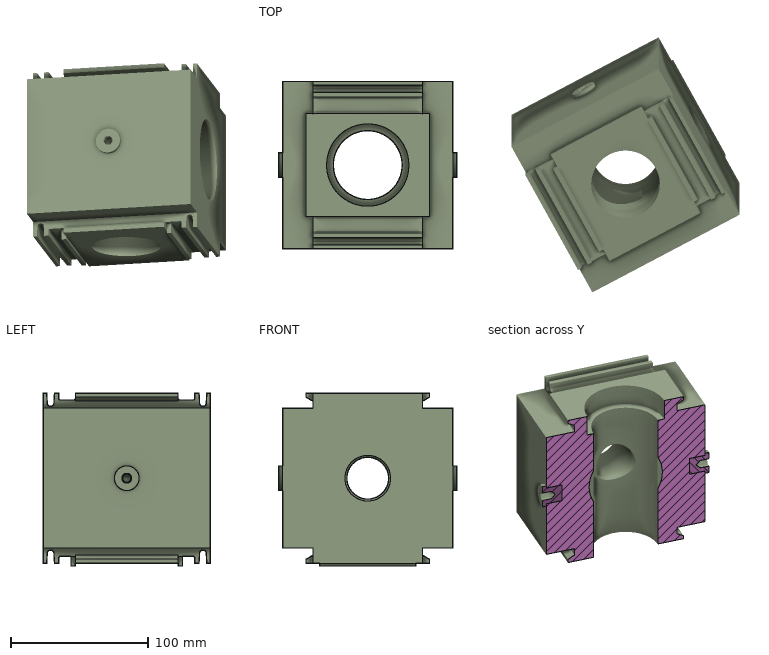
import cadquery as cq
import math

BODY_X = 124.0
BODY_Y = 122.0
BODY_Z = 102.0
PAD_X = 80.0
PAD_HEIGHT = 11.0
PAD_Z = BODY_Z / 2 + PAD_HEIGHT

DOVETAIL_X = 90.0
DOVETAIL_Y = 75.0
DOVETAIL_LIP = 3.0
DOVETAIL_ANGLE = 30.0
DOVETAIL_DROP = (DOVETAIL_X - PAD_X) / 2 * math.tan(math.radians(DOVETAIL_ANGLE))

CHANNEL_DEPTH = 5.0
CHANNEL_FILLET = 1.0
CHANNEL_OUTER_Y = 49.5

GROOVE_Y = 55.5
GROOVE_MOUTH = 5.5
GROOVE_FLOOR = 4.4
GROOVE_DEPTH = 9.5
GROOVE_FILLET = 2.1

STRIP_X = 70.0
STRIP_Y = 3.3
STRIP_PROJECTION = 2.0

MAIN_BORE_DIA = 50.0
COUNTERBORE_DIA = 60.0
COUNTERBORE_DEPTH = 16.0

FRONT_PORT_DIA = 30.29
REAR_PORT_DIA = 56.66
PORT_CHAMFER = 1.48

PLUG_TURNS = (0, 180)
PLUG_HEAD_DIA = 18.0
PLUG_HEAD_HEIGHT = 3.0
PLUG_SHANK_DIA = 13.16
PLUG_SHANK_LENGTH = 12.0
SOCKET_FLATS = 6.0
SOCKET_CORNERS = SOCKET_FLATS / math.cos(math.radians(30))
SOCKET_DEPTH = 7.0
SOCKET_POINT_ANGLE = 90.0
SOCKET_MOUTH_DIA = 7.2
SOCKET_CHAMFER = (SOCKET_MOUTH_DIA - SOCKET_FLATS) / 2
SOCKET_POINT_DEPTH = SOCKET_FLATS / 2 / math.tan(math.radians(SOCKET_POINT_ANGLE / 2))


def rotate_to_bottom(shape):
    """Turn a feature of the top face half way around the X axis onto the bottom face."""
    return shape.rotate((0, 0, 0), (1, 0, 0), 180)


def dovetail():
    half_top = DOVETAIL_X / 2
    half_neck = PAD_X / 2
    lip_z = PAD_Z - DOVETAIL_LIP
    neck_z = lip_z - DOVETAIL_DROP
    return (
        cq.Workplane("XZ")
        .moveTo(-half_neck, neck_z)
        .lineTo(-half_top, lip_z)
        .lineTo(-half_top, PAD_Z)
        .lineTo(half_top, PAD_Z)
        .lineTo(half_top, lip_z)
        .lineTo(half_neck, neck_z)
        .close()
        .extrude(DOVETAIL_Y / 2, both=True)
    )


def channel():
    width = CHANNEL_OUTER_Y - DOVETAIL_Y / 2
    return (
        cq.Workplane("XY")
        .box(PAD_X, width, CHANNEL_DEPTH)
        .edges("|X and <Z")
        .fillet(CHANNEL_FILLET)
        .translate((0, DOVETAIL_Y / 2 + width / 2, PAD_Z - CHANNEL_DEPTH / 2))
    )


def groove():
    floor_z = PAD_Z - GROOVE_DEPTH
    return (
        cq.Workplane("YZ")
        .moveTo(GROOVE_Y - GROOVE_MOUTH / 2, PAD_Z)
        .lineTo(GROOVE_Y - GROOVE_FLOOR / 2, floor_z)
        .lineTo(GROOVE_Y + GROOVE_FLOOR / 2, floor_z)
        .lineTo(GROOVE_Y + GROOVE_MOUTH / 2, PAD_Z)
        .close()
        .extrude(PAD_X / 2, both=True)
        .edges("|X and <Z")
        .fillet(GROOVE_FILLET)
    )


def top_pad():
    """Raised pad with its dovetail, channels, grooves and ribs."""
    pad = cq.Workplane("XY").box(PAD_X, BODY_Y, PAD_HEIGHT)
    pad = pad.translate((0, 0, BODY_Z / 2 + PAD_HEIGHT / 2))
    for cutter in (channel(), groove()):
        pad = pad.cut(cutter).cut(cutter.mirror("XZ"))
    return pad.union(dovetail())


def key_strip():
    height = CHANNEL_DEPTH + STRIP_PROJECTION
    center_y = DOVETAIL_Y / 2 + STRIP_Y / 2
    center_z = -PAD_Z - STRIP_PROJECTION + height / 2
    return cq.Workplane("XY").box(STRIP_X, STRIP_Y, height).translate((0, center_y, center_z))


def main_bore():
    bore = cq.Workplane("XY").circle(MAIN_BORE_DIA / 2).extrude(PAD_Z, both=True)
    counterbore = (
        cq.Workplane("XY")
        .workplane(offset=PAD_Z - COUNTERBORE_DEPTH)
        .circle(COUNTERBORE_DIA / 2)
        .extrude(COUNTERBORE_DEPTH)
    )
    return bore.union(counterbore)


def side_port(diameter, turn):
    """Chamfered port from the -Y face to the main bore axis, turned about Z by the given angle."""
    radius = diameter / 2
    mouth_y = -BODY_Y / 2
    port = (
        cq.Workplane("XY")
        .moveTo(0, mouth_y)
        .lineTo(radius + PORT_CHAMFER, mouth_y)
        .lineTo(radius, mouth_y + PORT_CHAMFER)
        .lineTo(radius, 0)
        .lineTo(0, 0)
        .close()
        .revolve(360, (0, 0, 0), (0, 1, 0))
    )
    return port.rotate((0, 0, 0), (0, 0, 1), turn)


def on_left_face():
    """Workplane on the -X face of the body, facing outward."""
    return cq.Workplane("YZ", origin=(-BODY_X / 2, 0, 0)).transformed(rotate=(0, 180, 0))


def plug_shank():
    return on_left_face().circle(PLUG_SHANK_DIA / 2).extrude(-PLUG_SHANK_LENGTH)


def plug_socket():
    """Hexagonal socket with a chamfered mouth and a conical floor."""
    mouth = on_left_face().workplane(offset=PLUG_HEAD_HEIGHT)
    hexagon = mouth.polygon(6, SOCKET_CORNERS).extrude(-SOCKET_DEPTH)
    mouth_x = -BODY_X / 2 - PLUG_HEAD_HEIGHT
    floor_x = mouth_x + SOCKET_DEPTH
    cones = (
        cq.Workplane("XZ")
        .moveTo(mouth_x, 0)
        .lineTo(mouth_x, SOCKET_MOUTH_DIA / 2)
        .lineTo(mouth_x + SOCKET_CHAMFER, SOCKET_FLATS / 2)
        .lineTo(floor_x, SOCKET_FLATS / 2)
        .lineTo(floor_x + SOCKET_POINT_DEPTH, 0)
        .close()
        .revolve(360, (0, 0, 0), (1, 0, 0))
    )
    return hexagon.union(cones)


def make_plug(turn):
    """Screw plug on the -X face, turned about the Z axis by the given angle."""
    head = on_left_face().circle(PLUG_HEAD_DIA / 2).extrude(PLUG_HEAD_HEIGHT)
    plug = head.union(plug_shank()).cut(plug_socket())
    return plug.rotate((0, 0, 0), (0, 0, 1), turn)


def make_housing():
    body = cq.Workplane("XY").box(BODY_X, BODY_Y, BODY_Z)
    pad = top_pad()
    body = body.union(pad).union(rotate_to_bottom(pad))
    strip = key_strip()
    body = body.union(strip).union(strip.mirror("XZ"))
    body = body.cut(main_bore())
    body = body.cut(side_port(FRONT_PORT_DIA, 0)).cut(side_port(REAR_PORT_DIA, 180))
    for turn in PLUG_TURNS:
        body = body.cut(plug_shank().rotate((0, 0, 0), (0, 0, 1), turn))
    return body


housing = make_housing()
plugs = [make_plug(turn) for turn in PLUG_TURNS]

result = cq.Compound.makeCompound([housing.val(), *(plug.val() for plug in plugs)])